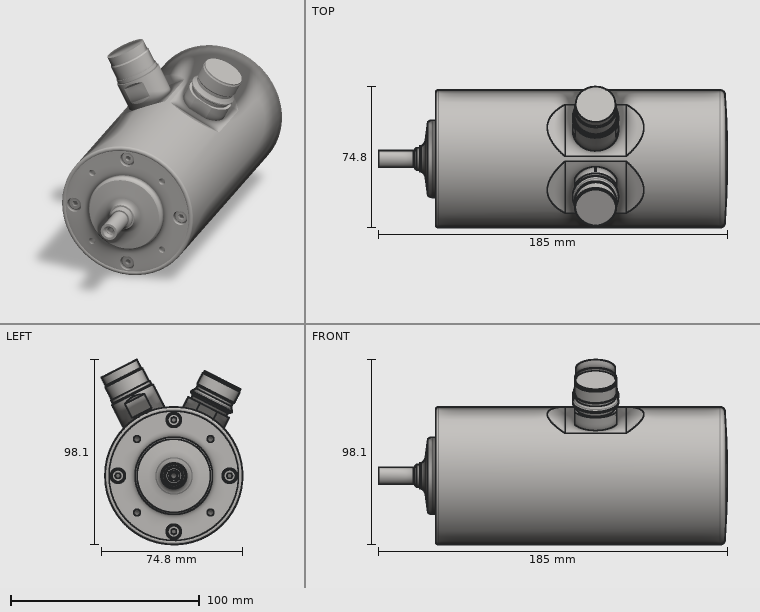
import cadquery as cq
import math


length = 185.0
body_radius = 73.0 / 2
rear_round = 2.8
rear_edge_x = 183.7
rear_edge_radius = 34.5

rim_x = 30.3
rim_round = 1.3
face_recess = 0.4
face_x = rim_x + face_recess

shaft_radius = 9.0 / 2
shaft_end_x = 18.3
neck_radius = 8.5 / 2
seal_x = 19.2
seal_small_radius = 10.0 / 2
seal_mid_x = 20.2
seal_radius = 12.0 / 2
collar_x = 21.8
collar_end_x = 22.5
collar_radius = 13.7 / 2
flare_x = 24.8
flare_radius = 9.6
flare_round = 3.7

boss_radius = 20.5
boss_x = 26.0
boss_face_radius = 19.5
boss_round_end_x = 28.5

countersink_radius = 6.3 / 2
countersink_depth = 1.0
pilot_radius = 4.5 / 2
pilot_depth = 2.2
thread_radius = 3.5 / 2
thread_depth = 9.2

hole_count = 4
screw_circle_radius = 29.6
counterbore_diameter = 8.0
counterbore_depth = 5.5
head_diameter = 7.0
head_top_depth = 1.7
head_chamfer = 0.4
hex_flats = 2.8
hex_depth = 2.2
tapped_circle_radius = 27.5
tapped_radius = 3.5 / 2
tapped_depth = 9.2
drill_point_angle = 118.0

connector_x = 115.0
tilt = 27.0
seat_height = 33.1
seat_length = 32.4
seat_slope = 20.0

base_radius = 12.2
barrel_radius = 11.1

tall_height = 63.8
tall_base_top = 48.3
tall_groove_radius = 11.1
tall_ring_bottom = 48.8
tall_ring_radius = 11.56
tall_ring_top = 50.7
tall_step_bottom = 58.3
tall_step_top = 59.0
tall_tip_radius = 10.5
tall_flat_distance = 10.7
tall_flat_bottom = 37.4
tall_flat_top = 45.7

short_height = 57.0
short_base_top = 40.7
short_neck_radius = 10.5
short_cone_bottom = 42.5
flange_radius = 12.2
flange_bottom = 43.7
flange_top = 44.4
flange_shoulder_radius = 11.5
flange_shoulder = 45.3
short_groove_bottom = 46.6
short_barrel_bottom = 48.3
short_barrel_chamfer = 0.7
short_barrel_top = 55.5
short_tip_bottom = 56.2
short_tip_radius = 10.7
short_flat_distance = 11.1
key_width = 1.0
key_depth = 0.7
key_top = 37.7


def tangent_arc_radius(run, drop):
    """Radius of an arc that starts along a straight line and drifts off it by drop over run."""
    return (run**2 + drop**2) / (2 * drop)


def make_turned_body():
    """Shaft, seal, boss and barrel as one turned shape about X."""
    boss_round = tangent_arc_radius(boss_round_end_x - boss_x, boss_radius - boss_face_radius)
    dome_radius = tangent_arc_radius(rear_edge_radius, length - rear_edge_x)
    rim_peak_radius = body_radius - rim_round
    face_radius = rim_peak_radius - math.sqrt(rim_round**2 - (rim_round - face_recess)**2)
    profile = (
        cq.Workplane("XY")
        .moveTo(0, 0)
        .lineTo(0, shaft_radius)
        .lineTo(shaft_end_x, shaft_radius)
        .lineTo(shaft_end_x, neck_radius)
        .lineTo(seal_x, neck_radius)
        .lineTo(seal_x, seal_small_radius)
        .lineTo(seal_mid_x, seal_radius)
        .lineTo(collar_x, seal_radius)
        .lineTo(collar_x, collar_radius)
        .lineTo(collar_end_x, collar_radius)
        .radiusArc((flare_x, flare_radius), -flare_round)
        .lineTo(boss_x, boss_face_radius)
        .radiusArc((boss_round_end_x, boss_radius), boss_round)
        .lineTo(face_x, boss_radius)
        .lineTo(face_x, face_radius)
        .radiusArc((rim_x + rim_round, body_radius), rim_round)
        .lineTo(rear_edge_x - rear_round, body_radius)
        .radiusArc((rear_edge_x, rear_edge_radius), rear_round)
        .radiusArc((length, 0), dome_radius)
        .close()
    )
    return profile.revolve(360, (0, 0, 0), (1, 0, 0))


def drill_tip(radius):
    """Length of the conical bottom of a drilled hole."""
    return radius / math.tan(math.radians(drill_point_angle / 2))


def make_centre_hole():
    """Countersink, pilot bore and thread hole in the shaft end, along X."""
    return (
        cq.Workplane("XY")
        .polyline([
            (0, 0),
            (0, countersink_radius),
            (countersink_depth, pilot_radius),
            (pilot_depth, pilot_radius),
            (pilot_depth, thread_radius),
            (thread_depth, thread_radius),
            (thread_depth + drill_tip(thread_radius), 0),
        ])
        .close()
        .revolve(360, (0, 0, 0), (1, 0, 0))
    )


def make_tapped_hole():
    """Drilled hole in the front face, at the +Z position of its circle."""
    return (
        cq.Workplane("XY", origin=(face_x, 0, tapped_circle_radius))
        .polyline([
            (0, 0),
            (0, tapped_radius),
            (tapped_depth, tapped_radius),
            (tapped_depth + drill_tip(tapped_radius), 0),
        ])
        .close()
        .revolve(360, (0, 0, 0), (1, 0, 0))
    )


def make_screw_recess():
    """Counterbore around a socket screw head, at the +Z position of the screw circle."""
    hex_corners = hex_flats / math.cos(math.radians(30))
    face = cq.Workplane("YZ", origin=(face_x, 0, screw_circle_radius))
    head_top = face.workplane(offset=head_top_depth)
    counterbore = face.circle(counterbore_diameter / 2).extrude(counterbore_depth)
    head = head_top.circle(head_diameter / 2).extrude(counterbore_depth - head_top_depth)
    head = head.faces("<X").chamfer(head_chamfer)
    socket = head_top.transformed(rotate=(0, 0, 90)).polygon(6, hex_corners).extrude(hex_depth)
    return counterbore.cut(head.cut(socket))


def tilted(shape, side):
    """Move a shape built along Z to its place, leaning to +Y (side 1) or -Y (side -1)."""
    return shape.rotate((0, 0, 0), (1, 0, 0), -side * tilt).translate((connector_x, 0, 0))


def make_seat_cutter():
    """Flat seat with sloping ends, cut across the top of the barrel."""
    rise = body_radius - seat_height
    half_bottom = seat_length / 2
    half_top = half_bottom + rise / math.tan(math.radians(seat_slope))
    return (
        cq.Workplane("XZ")
        .polyline([
            (-half_bottom, seat_height),
            (half_bottom, seat_height),
            (half_top, body_radius),
            (-half_top, body_radius),
        ])
        .close()
        .extrude(body_radius, both=True)
    )


def make_housing():
    housing = make_turned_body().cut(make_centre_hole())
    screw_recess = make_screw_recess()
    tapped_hole = make_tapped_hole()
    pitch = 360 / hole_count
    for index in range(hole_count):
        housing = housing.cut(screw_recess.rotate((0, 0, 0), (1, 0, 0), pitch * index))
        housing = housing.cut(tapped_hole.rotate((0, 0, 0), (1, 0, 0), pitch * (index + 0.5)))
    seat_cutter = make_seat_cutter()
    for side in (1, -1):
        housing = housing.cut(tilted(seat_cutter, side))
    return housing


def turned_connector(outline):
    """Turn (radius, height) points about Z, from the seat up to the flat tip."""
    height = outline[-1][1]
    points = [(0, seat_height), *outline, (0, height)]
    return cq.Workplane("XZ").polyline(points).close().revolve(360, (0, 0, 0), (0, 1, 0))


def make_tall_connector():
    connector = turned_connector([
        (base_radius, seat_height),
        (base_radius, tall_base_top),
        (tall_groove_radius, tall_base_top),
        (tall_groove_radius, tall_ring_bottom),
        (tall_ring_radius, tall_ring_bottom),
        (tall_ring_radius, tall_ring_top),
        (barrel_radius, tall_ring_top),
        (barrel_radius, tall_step_bottom),
        (tall_tip_radius, tall_step_top),
        (tall_tip_radius, tall_height),
    ])
    flat_depth = base_radius - tall_flat_distance
    notch = (
        cq.Workplane("XZ")
        .polyline([
            (tall_flat_distance, tall_flat_bottom),
            (tall_flat_distance, tall_flat_top),
            (base_radius, tall_flat_top + flat_depth),
            (base_radius, tall_flat_bottom - flat_depth),
        ])
        .close()
        .extrude(base_radius, both=True)
    )
    return tilted(connector.cut(notch).cut(notch.mirror("YZ")), 1)


def make_short_connector():
    connector = turned_connector([
        (base_radius, seat_height),
        (base_radius, short_base_top),
        (short_neck_radius, short_base_top),
        (short_neck_radius, short_cone_bottom),
        (flange_radius, flange_bottom),
        (flange_radius, flange_top),
        (flange_shoulder_radius, flange_shoulder),
        (short_neck_radius, short_groove_bottom),
        (short_neck_radius, short_barrel_bottom),
        (barrel_radius, short_barrel_bottom + short_barrel_chamfer),
        (barrel_radius, short_barrel_top),
        (short_tip_radius, short_tip_bottom),
        (short_tip_radius, short_height),
    ])
    base_height = short_base_top - seat_height
    flat_box = cq.Workplane("XY", origin=(0, 0, seat_height)).box(
        base_radius, 2 * base_radius, base_height, centered=(False, True, False)
    ).translate((short_flat_distance, 0, 0))
    key_slot = cq.Workplane("XY", origin=(0, base_radius - key_depth, seat_height)).box(
        key_width, 2 * key_depth, key_top - seat_height, centered=(True, False, False)
    )
    return tilted(connector.cut(flat_box).cut(flat_box.mirror("YZ")).cut(key_slot), -1)


housing = make_housing()
tall_connector = make_tall_connector()
short_connector = make_short_connector()

result = cq.Compound.makeCompound([housing.val(), tall_connector.val(), short_connector.val()])